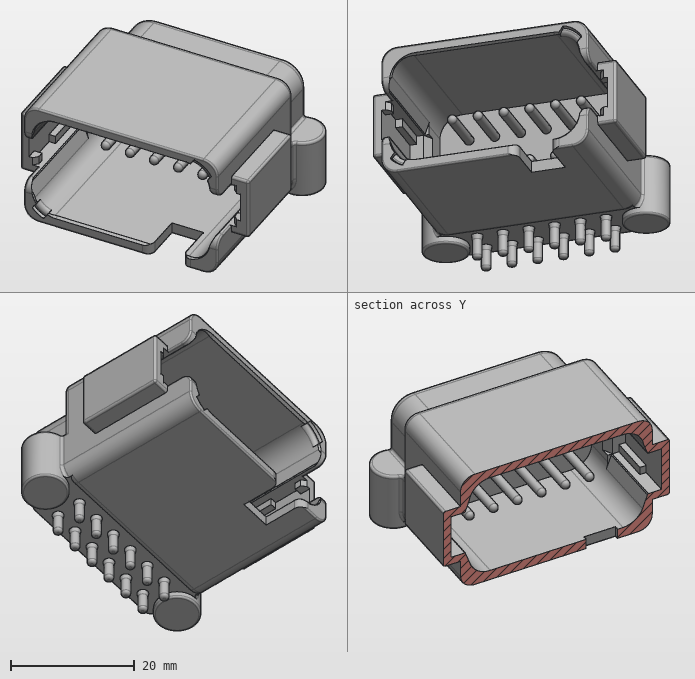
import cadquery as cq
import math


SHELL_WIDTH = 35.32
SHELL_HEIGHT = 22.28
SHELL_LENGTH = 26.25
SHELL_CORNER = 2.65
SHELL_REAR_ROUND = 0.95
MOUTH_ROUND = 0.3

CAVITY_WIDTH = 32.05
CAVITY_BOTTOM = 1.95
CAVITY_TOP = 20.5
CAVITY_DEPTH = 24.35
CAVITY_CORNER = 3.8
FLARE_DEPTH = 0.55
FLARE_WIDTH = 0.25
FLARE_CORNER = 4.2
CAVITY_HEIGHT = CAVITY_TOP - CAVITY_BOTTOM
CAVITY_MIDDLE = (CAVITY_TOP + CAVITY_BOTTOM) / 2

HOUSING_WIDTH = 31.38
HOUSING_BOTTOM = 0.45
HOUSING_TOP = 19.65
HOUSING_REAR = 34.9
HOUSING_CORNER = 4.2
HOUSING_REAR_ROUND = 1.5
JUNCTION_ROUND = 0.5

LUG_RADIUS = 3.85
LUG_X = 20.98 - LUG_RADIUS
LUG_Y = 30.45
LUG_BOTTOM = -0.75
LUG_TOP = 9.8
LUG_TOP_ROUND = 0.45
LUG_BOTTOM_ROUND = 0.35
NECK_ROUND = 0.55

GUARD_HALF_SPAN = 20.8
GUARD_FRONT = 4.82
GUARD_REAR = 19.9
GUARD_BOTTOM = 5.6
GUARD_TOP = 16.7
GUARD_ROUND = 0.4

WINDOW_BOTTOM = 7.1
WINDOW_TOP = 15.15
WINDOW_REAR = 18.88
WINDOW_OUTER_X = 19.3
WINDOW_REAR_X = 16.95
WINDOW_REAR_RAMP = 1.68
RELIEF_ANGLE = 20
RELIEF_EDGE_CHAMFER = 0.15
WINDOW_MOUTH_ROUND = 1.95
WINDOW_MIDDLE = (WINDOW_BOTTOM + WINDOW_TOP) / 2

STOP_HEIGHT = 1.43
STOP_LENGTH = 1.85
STOP_LEAD_X = 18.63
STOP_CREST_X = 17.85
REAR_STOP_FRONT = 11.85
REAR_STOP_X = 18.12

NOTCH_CENTER_X = 8.35
NOTCH_WIDTH = 5.75
NOTCH_DEPTH = 7.4
NOTCH_MOUTH_ROUND = 1.5

KEY_RADIUS = 5.1
KEY_CHAMFER = 0.2
KEY_DEPTH = 0.5
KEY_FLOOR_WIDTH = 0.3
KEY_ANGLE = 54
UPPER_KEY_WIDTH = 3.85
LOWER_KEY_WIDTH = 2.5

PINS_PER_ROW = 6
PIN_PITCH = 4.4
PIN_RADIUS = 0.8
PIN_ROW_Z = (6.55, 15.7)
PIN_FRONT = 15.1
TAIL_ROW_Y = (28.27, 32.7)
TAIL_BOTTOM = -3.75
TAIL_TIP_ROUND = 0.6
COLLAR_RADIUS = 1.05
COLLAR_BOTTOM = -0.38

PICK = 0.05


def plane_xz(y):
    """Plane facing the mouth, with local X = X and local Y = Z."""
    return cq.Workplane("XZ", origin=(0, y, 0))


def both_sides(solid):
    return solid.union(solid.mirror("YZ"))


def shell_bar(front, rear):
    """Solid bar with the outer profile of the shell."""
    return (
        plane_xz(front)
        .center(0, SHELL_HEIGHT / 2)
        .rect(SHELL_WIDTH, SHELL_HEIGHT)
        .extrude(front - rear)
        .edges("|Y")
        .fillet(SHELL_CORNER)
    )


def make_shell():
    """Shell without its cavity; one round follows the mouth and the sides of both windows."""
    body = shell_bar(0, SHELL_LENGTH).faces(">Y").edges().fillet(SHELL_REAR_ROUND)
    body = body.cut(both_sides(make_window()))
    return body.faces(">X or <X").edges("<Y").fillet(MOUTH_ROUND)


def make_housing():
    overlap = SHELL_REAR_ROUND + 0.4
    front = SHELL_LENGTH - overlap
    body = cq.Workplane("XY").box(
        HOUSING_WIDTH, HOUSING_REAR - front, HOUSING_TOP - HOUSING_BOTTOM, centered=(True, False, False)
    )
    body = body.translate((0, front, HOUSING_BOTTOM))
    body = body.edges("|Y and >Z").fillet(HOUSING_CORNER)
    return body.faces(">Y").edges("not(<Z)").fillet(HOUSING_REAR_ROUND)


def make_lugs():
    """Round posts, each joined to the shell by a neck that carries on the shell's side."""
    neck_front = SHELL_LENGTH - SHELL_REAR_ROUND
    post = (
        cq.Workplane("XY", origin=(LUG_X, LUG_Y, LUG_BOTTOM))
        .circle(LUG_RADIUS)
        .extrude(LUG_TOP - LUG_BOTTOM)
        .faces("<Z")
        .edges()
        .fillet(LUG_BOTTOM_ROUND)
    )
    neck_limit = (
        cq.Workplane("XY")
        .box(LUG_RADIUS, LUG_Y, LUG_TOP - HOUSING_BOTTOM, centered=False)
        .translate((SHELL_WIDTH / 2 - LUG_RADIUS, 0, HOUSING_BOTTOM))
    )
    neck = shell_bar(neck_front, LUG_Y).intersect(neck_limit)
    lug = post.union(neck)
    side = SHELL_WIDTH / 2
    corner_y = LUG_Y - math.sqrt(LUG_RADIUS**2 - (side - LUG_X) ** 2)
    corner = cq.selectors.BoxSelector(
        (side - PICK, corner_y - PICK, HOUSING_BOTTOM), (side + PICK, corner_y + PICK, LUG_TOP)
    )
    lug = lug.edges(corner).fillet(NECK_ROUND)
    outer_top = cq.selectors.BoxSelector(
        (side - PICK, neck_front, LUG_TOP - PICK), (side + LUG_RADIUS, LUG_Y, LUG_TOP + PICK)
    )
    lug = lug.edges(outer_top).fillet(LUG_TOP_ROUND)
    return both_sides(lug)


def make_guards():
    guards = cq.Workplane("XY").box(
        2 * GUARD_HALF_SPAN, GUARD_REAR - GUARD_FRONT, GUARD_TOP - GUARD_BOTTOM, centered=(True, False, False)
    )
    return guards.translate((0, GUARD_FRONT, GUARD_BOTTOM)).edges().fillet(GUARD_ROUND)


def make_cavity():
    pocket = (
        plane_xz(0)
        .center(0, CAVITY_MIDDLE)
        .rect(CAVITY_WIDTH, CAVITY_HEIGHT)
        .extrude(-CAVITY_DEPTH)
        .edges("|Y")
        .fillet(CAVITY_CORNER)
    )
    flare = (
        plane_xz(FLARE_DEPTH)
        .center(0, CAVITY_MIDDLE)
        .sketch()
        .rect(CAVITY_WIDTH, CAVITY_HEIGHT)
        .vertices()
        .fillet(FLARE_CORNER)
        .finalize()
        .extrude(FLARE_DEPTH, taper=-math.degrees(math.atan(FLARE_WIDTH / FLARE_DEPTH)))
    )
    return pocket.union(flare)


def make_window():
    """Latch slot through the +X side wall, with its mouth rounded outward."""
    inner_x = CAVITY_WIDTH / 2
    start_x = inner_x - 0.4
    height = WINDOW_TOP - WINDOW_BOTTOM
    slot = (
        cq.Workplane("XY", origin=(0, 0, WINDOW_BOTTOM))
        .moveTo(start_x, 0)
        .lineTo(WINDOW_OUTER_X, 0)
        .lineTo(WINDOW_OUTER_X, WINDOW_REAR)
        .lineTo(WINDOW_REAR_X, WINDOW_REAR)
        .lineTo(inner_x, WINDOW_REAR + WINDOW_REAR_RAMP)
        .lineTo(start_x, WINDOW_REAR + WINDOW_REAR_RAMP)
        .close()
        .extrude(height)
    )
    r = WINDOW_MOUTH_ROUND
    mid = r * (1 - math.sqrt(0.5))
    mouth = (
        cq.Workplane("YZ", origin=(start_x, 0, 0))
        .moveTo(0, WINDOW_BOTTOM - r)
        .threePointArc((mid, WINDOW_BOTTOM - mid), (r, WINDOW_BOTTOM))
        .lineTo(r, WINDOW_TOP)
        .threePointArc((mid, WINDOW_TOP + mid), (0, WINDOW_TOP + r))
        .close()
        .extrude(WINDOW_OUTER_X - start_x)
    )
    return slot.union(mouth)


def make_relief():
    """Outward-leaning inner wall below and above the +X window, tangent to the cavity corners
    and chamfered along the window edge."""
    lean = math.radians(RELIEF_ANGLE)
    start_x = CAVITY_WIDTH / 2 - CAVITY_CORNER * (1 - math.cos(lean))
    start_z = CAVITY_BOTTOM + CAVITY_CORNER * (1 - math.sin(lean))
    chamfer_z = WINDOW_BOTTOM - RELIEF_EDGE_CHAMFER
    chamfer_x = start_x + (chamfer_z - start_z) * math.tan(lean)
    lower = (
        plane_xz(0)
        .moveTo(start_x, start_z)
        .lineTo(chamfer_x, chamfer_z)
        .lineTo(chamfer_x + RELIEF_EDGE_CHAMFER, WINDOW_BOTTOM)
        .lineTo(start_x, WINDOW_BOTTOM)
        .close()
        .extrude(-WINDOW_REAR)
    )
    return lower.union(lower.mirror("XY", (0, 0, WINDOW_MIDDLE)))


def make_stops():
    """Ramped front stop and square rear stop, at the bottom and top of the +X window."""
    front = (
        cq.Workplane("XY", origin=(0, 0, WINDOW_BOTTOM))
        .moveTo(WINDOW_OUTER_X, GUARD_FRONT)
        .lineTo(STOP_LEAD_X, GUARD_FRONT)
        .lineTo(STOP_CREST_X, GUARD_FRONT + STOP_LEAD_X - STOP_CREST_X)
        .lineTo(STOP_CREST_X, GUARD_FRONT + STOP_LENGTH)
        .lineTo(WINDOW_OUTER_X, GUARD_FRONT + STOP_LENGTH)
        .close()
        .extrude(STOP_HEIGHT)
    )
    rear = (
        cq.Workplane("XY")
        .box(WINDOW_OUTER_X - REAR_STOP_X, WINDOW_REAR - REAR_STOP_FRONT, STOP_HEIGHT, centered=False)
        .translate((REAR_STOP_X, REAR_STOP_FRONT, WINDOW_BOTTOM))
    )
    lower = front.union(rear)
    return lower.union(lower.mirror("XY", (0, 0, WINDOW_MIDDLE)))


def make_notch():
    """Slot through the floor of the shell, rounded outward at the mouth."""
    half = NOTCH_WIDTH / 2
    r = NOTCH_MOUTH_ROUND
    mid = r * (1 - math.sqrt(0.5))
    return (
        cq.Workplane("XY", origin=(NOTCH_CENTER_X, 0, 0))
        .moveTo(-half - r, 0)
        .threePointArc((-half - mid, mid), (-half, r))
        .lineTo(-half, NOTCH_DEPTH)
        .lineTo(half, NOTCH_DEPTH)
        .lineTo(half, r)
        .threePointArc((half + mid, mid), (half + r, 0))
        .close()
        .extrude(CAVITY_MIDDLE)
    )


def make_key(width, side):
    """Recess with a rounded inner lip in the upper right (side = 1) or lower left (side = -1) corner."""
    floor_radius = KEY_RADIUS - KEY_CHAMFER
    round_start = floor_radius - KEY_FLOOR_WIDTH
    lip = round_start - CAVITY_CORNER
    inner_radius = CAVITY_CORNER - 0.4
    mid = lip * math.sqrt(0.5)
    ring = (
        cq.Workplane("XY")
        .moveTo(inner_radius, 0)
        .lineTo(KEY_RADIUS, 0)
        .lineTo(floor_radius, KEY_DEPTH)
        .lineTo(round_start, KEY_DEPTH)
        .threePointArc((round_start - mid, KEY_DEPTH + lip - mid), (CAVITY_CORNER, KEY_DEPTH + lip))
        .lineTo(inner_radius, KEY_DEPTH + lip)
        .close()
        .revolve(360, (0, 0, 0), (0, 1, 0))
    )
    band = cq.Workplane("XY").box(2 * KEY_RADIUS, 2 * KEY_RADIUS, width, centered=(False, True, True))
    turn = KEY_ANGLE if side > 0 else KEY_ANGLE + 180
    center_x = side * (CAVITY_WIDTH / 2 - CAVITY_CORNER)
    center_z = CAVITY_MIDDLE + side * (CAVITY_HEIGHT / 2 - CAVITY_CORNER)
    key = ring.intersect(band).rotate((0, 0, 0), (0, 1, 0), -turn)
    return key.translate((center_x, 0, center_z))


def make_contact(x, z):
    """Mating pin with a hemispherical tip, rooted in the cavity's rear wall."""
    root = CAVITY_DEPTH + 0.4
    pin = plane_xz(root).center(x, z).circle(PIN_RADIUS).extrude(root - PIN_FRONT - PIN_RADIUS)
    tip = cq.Workplane("XY").sphere(PIN_RADIUS).translate((x, PIN_FRONT + PIN_RADIUS, z))
    return pin.union(tip)


def make_tail(x, y):
    """Solder tail with a conical collar at the housing floor."""
    root = HOUSING_BOTTOM + 0.4
    tail = (
        cq.Workplane("XY", origin=(x, y, root))
        .circle(PIN_RADIUS)
        .extrude(TAIL_BOTTOM - root)
        .faces("<Z")
        .edges()
        .fillet(TAIL_TIP_ROUND)
    )
    collar = cq.Workplane(
        cq.Solid.makeCone(
            COLLAR_RADIUS, PIN_RADIUS, root - COLLAR_BOTTOM, cq.Vector(x, y, root), cq.Vector(0, 0, -1)
        )
    )
    return tail.union(collar)


def make_body():
    """Outer body, with rounds where the housing meets the shell and the lugs."""
    body = make_shell().union(make_lugs()).union(make_housing())
    half = HOUSING_WIDTH / 2
    seat_inner = half - 0.15
    seat_front = SHELL_LENGTH - SHELL_REAR_ROUND
    step = cq.selectors.BoxSelector(
        (-half - PICK, SHELL_LENGTH - PICK, LUG_TOP + PICK),
        (half + PICK, SHELL_LENGTH + PICK, HOUSING_TOP + PICK),
        True,
    )
    right_seat = cq.selectors.BoxSelector(
        (seat_inner, seat_front, LUG_TOP - PICK), (LUG_X, HOUSING_REAR, LUG_TOP + PICK), True
    )
    left_seat = cq.selectors.BoxSelector(
        (-LUG_X, seat_front, LUG_TOP - PICK), (-seat_inner, HOUSING_REAR, LUG_TOP + PICK), True
    )
    body = body.edges(step + right_seat + left_seat).fillet(JUNCTION_ROUND)
    return body.union(make_guards())


body = make_body()
body = body.cut(make_cavity()).cut(both_sides(make_window())).cut(both_sides(make_relief())).cut(make_notch())
body = body.union(both_sides(make_stops()))
body = body.cut(make_key(UPPER_KEY_WIDTH, 1)).cut(make_key(LOWER_KEY_WIDTH, -1))

for index in range(PINS_PER_ROW):
    pin_x = (index - (PINS_PER_ROW - 1) / 2) * PIN_PITCH
    for row_z in PIN_ROW_Z:
        body = body.union(make_contact(pin_x, row_z))
    for row_y in TAIL_ROW_Y:
        body = body.union(make_tail(pin_x, row_y))

result = body